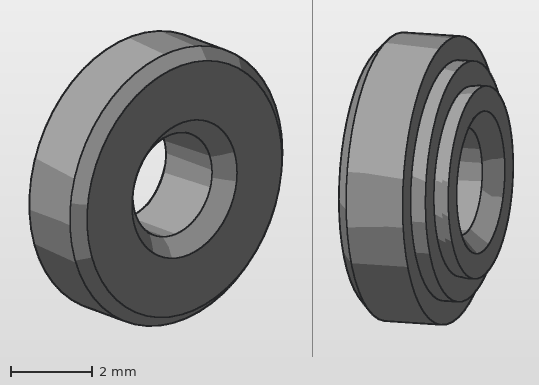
import cadquery as cq

flange_diameter = 7.11
shoulder_diameter = 5.93
collar_diameter = 4.75
collar_root_diameter = 4.69
bore_diameter = 2.645
countersink_diameter = 3.51

total_length = 2.54
collar_lip_length = 0.17
shoulder_start = 0.385
flange_start = 0.77
rim_chamfer = 0.3
countersink_depth = (countersink_diameter - bore_diameter) / 2

half_section = [
    (0, countersink_diameter / 2),
    (0, collar_diameter / 2),
    (collar_lip_length, collar_diameter / 2),
    (shoulder_start, collar_root_diameter / 2),
    (shoulder_start, shoulder_diameter / 2),
    (flange_start, shoulder_diameter / 2),
    (flange_start, flange_diameter / 2),
    (total_length - rim_chamfer, flange_diameter / 2),
    (total_length, flange_diameter / 2 - rim_chamfer),
    (total_length, countersink_diameter / 2),
    (total_length - countersink_depth, bore_diameter / 2),
    (countersink_depth, bore_diameter / 2),
]

result = cq.Workplane("XY").polyline(half_section).close().revolve(360, (0, 0, 0), (1, 0, 0))